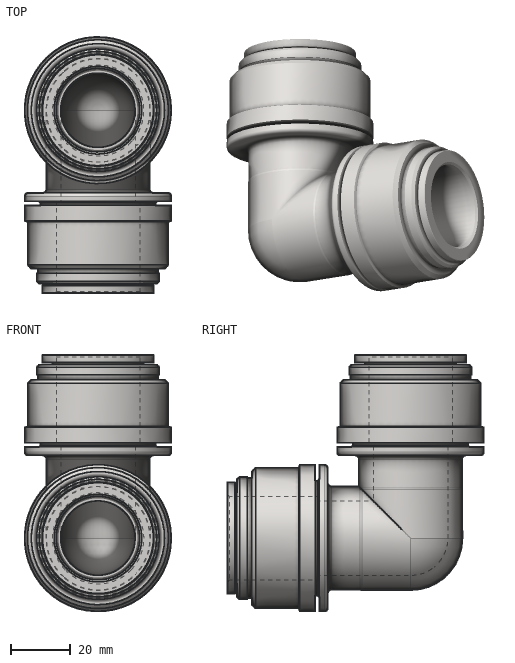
import cadquery as cq

overall = 86.0
flange_diameter = 49.2
port_length = overall - flange_diameter / 2
stem_diameter = 34.7
bore_diameter = 24.9
elbow_diameter = 34.9
elbow_straight = 16.3
elbow_end = 16.9

flange_bottom = 27.7
flange_top = 30.5
flange_round = 1.2
groove_diameter = 38.6
groove_chamfer = 0.5

ring_bottom = 31.9
ring_top = 37.1
ring_slope_top = 37.4
cap_diameter = 47.2
cap_top = 53.15
cap_chamfer = 1.3
collar_diameter = 41.1
collar_root_diameter = 40.3
collar_bottom = 54.7
collar_top = 58.1
collar_chamfer = 0.9

collet_diameter = 37.5
collet_neck_diameter = 30.6
collet_thickness = 2.7
collet_chamfer = 0.2
socket_diameter = 28.0
socket_floor = flange_top
socket_chamfer = 0.7


def cylinder(diameter, bottom, top):
    return cq.Workplane("XY").workplane(offset=bottom).circle(diameter / 2).extrude(top - bottom)


def cone(bottom_diameter, top_diameter, bottom, top):
    return (
        cq.Workplane("XY")
        .workplane(offset=bottom)
        .circle(bottom_diameter / 2)
        .workplane(offset=top - bottom)
        .circle(top_diameter / 2)
        .loft()
    )


def elbow_arm():
    """Slightly thicker elbow tube, tapering down to the stem."""
    straight = cylinder(elbow_diameter, 0, elbow_straight)
    return straight.union(cone(elbow_diameter, stem_diameter, elbow_straight, elbow_end))


def stem_and_flange():
    """Stem blended into the rounded flange, with the groove root above."""
    stem_radius = stem_diameter / 2
    flange_radius = flange_diameter / 2
    groove_radius = groove_diameter / 2
    blend_offset = flange_round * (1 - 0.5 ** 0.5)
    profile = (
        cq.Workplane("XZ")
        .lineTo(stem_radius, 0)
        .lineTo(stem_radius, flange_bottom - flange_round)
        .threePointArc(
            (stem_radius + blend_offset, flange_bottom - blend_offset),
            (stem_radius + flange_round, flange_bottom),
        )
        .lineTo(flange_radius - flange_round, flange_bottom)
        .threePointArc(
            (flange_radius - blend_offset, flange_bottom + blend_offset),
            (flange_radius, flange_bottom + flange_round),
        )
        .lineTo(flange_radius, flange_top)
        .lineTo(groove_radius + groove_chamfer, flange_top)
        .lineTo(groove_radius, flange_top + groove_chamfer)
        .lineTo(groove_radius, ring_bottom)
        .lineTo(0, ring_bottom)
        .close()
    )
    return profile.revolve(360, (0, 0), (0, 1))


def cap():
    """Locking ring, cap body and the stepped collar around the collet."""
    ring = cylinder(flange_diameter, ring_bottom, ring_top)
    slope = cone(flange_diameter, cap_diameter, ring_top, ring_slope_top)
    body = cylinder(cap_diameter, ring_slope_top, cap_top).faces(">Z").chamfer(cap_chamfer)
    root = cylinder(collar_root_diameter, cap_top, collar_bottom)
    collar = cylinder(collar_diameter, collar_bottom, collar_top).faces(">Z").chamfer(collar_chamfer)
    return ring.union(slope).union(body).union(root).union(collar)


def collet():
    """Narrow neck carrying the release collet."""
    collet_bottom = port_length - collet_thickness
    neck = cylinder(collet_neck_diameter, collar_top, collet_bottom)
    head = cylinder(collet_diameter, collet_bottom, port_length).edges().chamfer(collet_chamfer)
    return neck.union(head)


def port_cavity():
    """Bore and the wider tube socket with its chamfered mouth."""
    bore = cylinder(bore_diameter, 0, port_length)
    socket = cylinder(socket_diameter, socket_floor, port_length)
    mouth_diameter = socket_diameter + 2 * socket_chamfer
    mouth = cone(socket_diameter, mouth_diameter, port_length - socket_chamfer, port_length)
    return bore.union(socket).union(mouth)


def both_ports(port):
    """The upright port joined to its copy pointing along -Y."""
    return port.union(port.rotate((0, 0, 0), (1, 0, 0), 90))


outside = both_ports(stem_and_flange().union(cap()).union(collet()))
elbow = both_ports(elbow_arm()).union(cq.Workplane("XY").sphere(elbow_diameter / 2))
cavity = both_ports(port_cavity()).union(cq.Workplane("XY").sphere(bore_diameter / 2))

result = outside.union(elbow).cut(cavity)